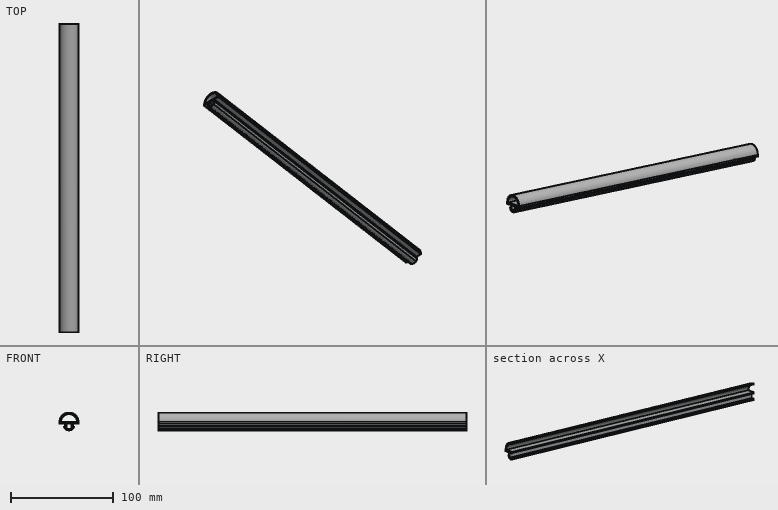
import cadquery as cq
import math

length = 300.0
height = 17.5

width = 19.0
dome_radius = width / 2
dome_wall = 1.5
base_thickness = 1.8
dome_center_z = height - dome_radius
base_top_z = 8.5
base_bottom_z = base_top_z - base_thickness

foot_radius = 5.0
foot_center_z = foot_radius
barb_z = 3.5
neck_half_width = 4.0
neck_z = 4.5
channel_half_width = 2.5
channel_floor_z = 1.8


def half_chord(radius, center_z, z):
    """Half width of a circle at height z."""
    return math.sqrt(radius**2 - (z - center_z) ** 2)


def extrude_profile(sketch):
    """Run an XZ profile along the full length, centred on Y."""
    return sketch.extrude(length / 2, both=True)


def dome_segment(radius):
    """Solid circular segment above the top of the base."""
    half_width = half_chord(radius, dome_center_z, base_top_z)
    return extrude_profile(
        cq.Workplane("XZ")
        .moveTo(-half_width, base_top_z)
        .threePointArc((0, dome_center_z + radius), (half_width, base_top_z))
        .close()
    )


def centered_bar(half_width, bottom_z, top_z):
    """Rectangular bar symmetric about X = 0."""
    bar_height = top_z - bottom_z
    return extrude_profile(
        cq.Workplane("XZ").center(0, bottom_z + bar_height / 2).rect(2 * half_width, bar_height)
    )


def foot():
    """Round-bottomed foot with a barb on each side and an open channel."""
    barb_half_width = half_chord(foot_radius, foot_center_z, barb_z)
    outer = extrude_profile(
        cq.Workplane("XZ")
        .moveTo(-neck_half_width, base_bottom_z)
        .lineTo(-neck_half_width, neck_z)
        .lineTo(-barb_half_width, barb_z)
        .threePointArc((0, foot_center_z - foot_radius), (barb_half_width, barb_z))
        .lineTo(neck_half_width, neck_z)
        .lineTo(neck_half_width, base_bottom_z)
        .close()
    )
    return outer.cut(centered_bar(channel_half_width, channel_floor_z, base_bottom_z))


dome = dome_segment(dome_radius).cut(dome_segment(dome_radius - dome_wall))
base = centered_bar(dome_radius, base_bottom_z, base_top_z)
result = base.union(dome).union(foot())